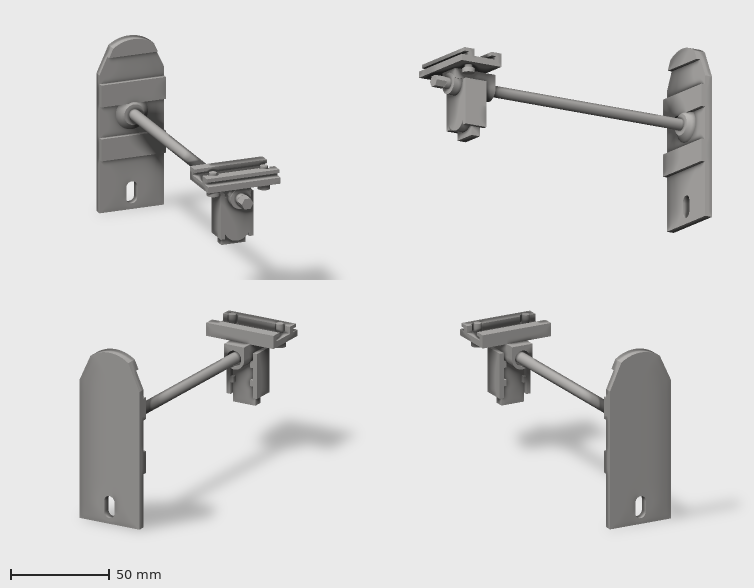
import cadquery as cq

plate_width = 35.7
plate_bottom = -52.0
plate_top = 40.5
shoulder_z = 22.5
crown_end_z = 36.8
crown_end_y = 11.2
cover_thickness = 3.6
base_face = 4.1
strip_face = 6.5
strip_height = 11.8
strip_bottoms = (5.8, -23.2)
cap_strip_bottom = 31.9
slot_width = 6.0
slot_length = 11.8
slot_z = -43.0

rod_diameter = 6.0
rod_start = 10.1
rod_end = 158.0
hex_start = 152.0
hex_across_corners = 6.5
cone_end = 7.5
cone_base_diameter = 17.7
cone_tip_diameter = 11.0

block_start = 124.0
block_end = 148.5
block_top = 7.0
block_width = 11.8
bore_diameter = 8.4
fork_start = 131.6
fork_end = 144.3
fork_top = 1.7
fork_bottom = -22.6
fork_width = 18.0
leg_thickness = 2.4
slab_start = 134.0
slab_end = 139.0
slab_bottom = -27.3
web_diameter = 14.5
web_bottom = -24.2
collar_end = 149.0
collar_width = 11.0
lug_height = 3.3
lug_reach = 1.7
lug_tops = (-3.0, -13.0)

rail_length = 40.0
rail_start = 129.7
rail_end = 153.7
rail_floor = 10.3
lip_bottom = 12.2
rail_top = 14.0
wall_thickness = 3.2
lip_reach = 2.7
second_wall_start = 146.2

screw_x = 145.8
screw_spacing = 28.1
screw_diameter = 4.0
screw_top = 15.0
head_diameter = 6.5
head_top = 5.0
head_bottom = 2.7
relief_diameter = 6.0
screw_positions = (-screw_spacing / 2, screw_spacing / 2)


def box(x_range, y_range, z_range):
    """Axis-aligned box between pairs of limits."""
    size = [high - low for low, high in (x_range, y_range, z_range)]
    corner = (x_range[0], y_range[0], z_range[0])
    return cq.Workplane("XY").box(*size, centered=False).translate(corner)


def centred_box(x_range, width, z_range):
    """Box that is symmetric about the XZ plane."""
    return box(x_range, (-width / 2, width / 2), z_range)


def rod_cylinder(diameter, start, end):
    """Cylinder on the rod axis."""
    return cq.Workplane("YZ", origin=(start, 0, 0)).circle(diameter / 2).extrude(end - start)


def upright_cylinder(diameter, bottom, top, y):
    """Vertical cylinder on a screw axis."""
    base = cq.Workplane("XY", origin=(screw_x, y, bottom))
    return base.circle(diameter / 2).extrude(top - bottom)


def plate_blank(start, end):
    """Wall plate outline, tapered to an arched crown, without its slot."""
    half = plate_width / 2
    return (
        cq.Workplane("YZ", origin=(start, 0, 0))
        .moveTo(-half, plate_bottom)
        .lineTo(half, plate_bottom)
        .lineTo(half, shoulder_z)
        .lineTo(crown_end_y, crown_end_z)
        .threePointArc((0, plate_top), (-crown_end_y, crown_end_z))
        .lineTo(-half, shoulder_z)
        .close()
        .extrude(end - start)
    )


def mounting_slot(length):
    """Cutter for the vertical slot near the foot of the plates."""
    return (
        cq.Workplane("YZ")
        .center(0, slot_z)
        .slot2D(slot_length, slot_width, 90)
        .extrude(length)
    )


def make_cover_plate():
    """Flat plate with the mounting slot."""
    return plate_blank(0, cover_thickness).cut(mounting_slot(cover_thickness))


def make_base_plate():
    """Thin plate with raised strips and the conical seat of the rod."""
    base = plate_blank(cover_thickness, base_face).cut(mounting_slot(base_face))

    raised = plate_blank(base_face, strip_face)
    strip_spans = [(bottom, bottom + strip_height) for bottom in strip_bottoms]
    strip_spans.append((cap_strip_bottom, plate_top))
    for span in strip_spans:
        base = base.union(raised.intersect(centred_box((base_face, strip_face), plate_width, span)))

    cone = (
        cq.Workplane("YZ", origin=(base_face, 0, 0))
        .circle(cone_base_diameter / 2)
        .workplane(offset=cone_end - base_face)
        .circle(cone_tip_diameter / 2)
        .loft()
    )
    sleeve = rod_cylinder(rod_diameter, cone_end, rod_start)
    return base.union(cone).union(sleeve)


def make_rod():
    """Round rod with a hexagonal end, flats up and down."""
    hex_end = (
        cq.Workplane("YZ", origin=(hex_start, 0, 0))
        .polygon(6, hex_across_corners)
        .extrude(rod_end - hex_start)
    )
    return rod_cylinder(rod_diameter, rod_start, hex_start).union(hex_end)


def round_bottomed_block(start, end, width, top):
    """Block whose underside is a half cylinder about the rod axis."""
    return centred_box((start, end), width, (0, top)).union(rod_cylinder(width, start, end))


def make_fork():
    """Two legs with inward lugs, a slab between them and a round-ended web."""
    outer = fork_width / 2
    inner = outer - leg_thickness
    fork = centred_box((slab_start, slab_end), 2 * inner, (slab_bottom, -rod_diameter / 2))

    web_radius = web_diameter / 2
    web_centre_z = web_bottom + web_radius
    fork = fork.union(centred_box((slab_end, fork_end), web_diameter, (web_centre_z, 0)))
    fork = fork.union(rod_cylinder(web_diameter, slab_end, fork_end).translate((0, 0, web_centre_z)))

    leg = box((fork_start, fork_end), (-outer, -inner), (fork_bottom, fork_top))
    for top in lug_tops:
        lug_y = (-inner, -inner + lug_reach)
        leg = leg.union(box((fork_start, slab_start), lug_y, (top - lug_height, top)))
    return fork.union(leg).union(leg.mirror("XZ"))


def make_bracket():
    """Clamp block on the rod, with its collar and fork."""
    bracket = round_bottomed_block(block_start, fork_end, block_width, block_top)
    bracket = bracket.union(centred_box((fork_end, block_end), block_width, (fork_top, block_top)))
    bracket = bracket.union(round_bottomed_block(fork_end, collar_end, collar_width, fork_top))
    bracket = bracket.union(make_fork())
    bracket = bracket.cut(rod_cylinder(bore_diameter, block_start, fork_end))
    return bracket.cut(rod_cylinder(rod_diameter, fork_end, collar_end))


def make_rail():
    """Extruded profile with two hooked walls, drilled for the screws."""
    first_wall_end = rail_start + wall_thickness
    second_wall_end = second_wall_start + wall_thickness
    profile = [
        (rail_start, block_top),
        (rail_end, block_top),
        (rail_end, rail_floor),
        (second_wall_end, rail_floor),
        (second_wall_end, lip_bottom),
        (second_wall_end + lip_reach, lip_bottom),
        (second_wall_end + lip_reach, rail_top),
        (second_wall_start, rail_top),
        (second_wall_start, rail_floor),
        (first_wall_end, rail_floor),
        (first_wall_end, lip_bottom),
        (first_wall_end + lip_reach, lip_bottom),
        (first_wall_end + lip_reach, rail_top),
        (rail_start, rail_top),
    ]
    rail = cq.Workplane("XZ").polyline(profile).close().extrude(rail_length / 2, both=True)
    for y in screw_positions:
        rail = rail.cut(upright_cylinder(screw_diameter, block_top, rail_floor, y))
        rail = rail.cut(upright_cylinder(relief_diameter, rail_floor, rail_top, y))
    return rail


def make_screw(y):
    """Headed screw that enters the rail from below."""
    shank = upright_cylinder(screw_diameter, head_top, screw_top, y)
    return shank.union(upright_cylinder(head_diameter, head_bottom, head_top, y))


cover_plate = make_cover_plate()
base_plate = make_base_plate()
rod = make_rod()
bracket = make_bracket()
rail = make_rail()
screws = [make_screw(y) for y in screw_positions]

result = cq.Compound.makeCompound(
    [
        cover_plate.val(),
        base_plate.val(),
        rod.val(),
        bracket.val(),
        rail.val(),
        *[screw.val() for screw in screws],
    ]
)